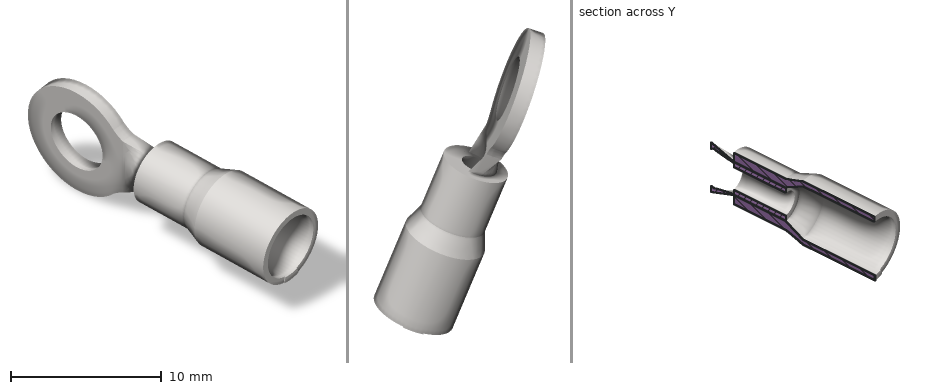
import cadquery as cq
import math

ring_radius = 4.25
ring_hole_radius = 2.25
tongue_thickness = 1.05
neck_x = 8.25
neck_half_width = 2.25
flare_x = 7.45
flare_sag = 0.05

barrel_radius = 1.5
barrel_wall = 0.5
lip_angle = math.radians(20)
side_end_angle = math.radians(-14)

sleeve_start_x = 10.23
cone_start_x = 14.56
cone_end_x = 15.97
overall_length = 22.0
pad_thickness = 0.07
sleeve_end_x = overall_length - pad_thickness
grip_radius = 2.29
sleeve_radius = 2.82
sleeve_wall = 0.48
sleeve_bore_radius = sleeve_radius - sleeve_wall

pad_angle = 30.0

barrel_bore_radius = barrel_radius - barrel_wall
barrel_length = cone_start_x - sleeve_start_x


def make_tongue():
    """Flat ring with a short neck, extruded from Y = 0 toward -Y."""
    flare_z = math.sqrt(ring_radius**2 - (flare_x - ring_radius) ** 2)
    mid_x = (flare_x + neck_x) / 2
    mid_z = (flare_z + neck_half_width) / 2 - flare_sag
    return (
        cq.Workplane("XZ")
        .moveTo(flare_x, flare_z)
        .threePointArc((0, 0), (flare_x, -flare_z))
        .threePointArc((mid_x, -mid_z), (neck_x, -neck_half_width))
        .lineTo(neck_x, neck_half_width)
        .threePointArc((mid_x, mid_z), (flare_x, flare_z))
        .close()
        .moveTo(ring_radius, 0)
        .circle(ring_hole_radius)
        .extrude(tongue_thickness)
    )


def section_point(angle):
    """(y, z) on the barrel's outer circle; the angle leans from +Z toward +Y."""
    return (barrel_radius * math.sin(angle), barrel_radius * math.cos(angle))


def section_edges(corners, middles, x):
    """Closed ring of edges at one X; each edge bends through its own middle point.

    Corners and middles are (y, z) pairs; a middle of None makes a straight edge.
    """
    points = [cq.Vector(x, y, z) for y, z in corners]
    edges = []
    for index, middle in enumerate(middles):
        start = points[index]
        end = points[(index + 1) % len(points)]
        if middle is None:
            edges.append(cq.Edge.makeLine(start, end))
        else:
            edges.append(cq.Edge.makeThreePointArc(start, cq.Vector(x, *middle), end))
    return edges


def make_curl():
    """Ruled transition from the flat neck to a crescent channel that meets the barrel."""
    side_middle_angle = (lip_angle + side_end_angle) / 2
    flat_corners = [
        (0, neck_half_width),
        (-tongue_thickness, neck_half_width),
        (-tongue_thickness, -neck_half_width),
        (0, -neck_half_width),
    ]
    crescent_corners = [
        section_point(lip_angle),
        section_point(side_end_angle),
        section_point(math.pi - side_end_angle),
        section_point(math.pi - lip_angle),
    ]
    crescent_middles = [
        section_point(side_middle_angle),
        (-barrel_radius, 0),
        section_point(math.pi - side_middle_angle),
        (-barrel_bore_radius, 0),
    ]
    flat = section_edges(flat_corners, [None] * len(flat_corners), neck_x)
    crescent = section_edges(crescent_corners, crescent_middles, sleeve_start_x)
    faces = [cq.Face.makeRuledSurface(near, far) for near, far in zip(flat, crescent)]
    faces.append(cq.Face.makeFromWires(cq.Wire.assembleEdges(flat)))
    faces.append(cq.Face.makeFromWires(cq.Wire.assembleEdges(crescent)))
    return cq.Workplane(cq.Solid.makeSolid(cq.Shell.makeShell(faces)).fix())


def make_barrel():
    """Round tube seated in the narrow part of the sleeve."""
    return (
        cq.Workplane("YZ", origin=(sleeve_start_x, 0, 0))
        .circle(barrel_radius)
        .circle(barrel_bore_radius)
        .extrude(barrel_length)
    )


def make_terminal():
    """Crimp terminal: tongue, curl and barrel as one piece."""
    return make_tongue().union(make_curl()).union(make_barrel())


def make_sleeve():
    """Stepped sleeve: snug on the barrel, then widening to the wire entry."""
    return (
        cq.Workplane("XY")
        .moveTo(sleeve_start_x, barrel_radius)
        .lineTo(sleeve_start_x, grip_radius)
        .lineTo(cone_start_x, grip_radius)
        .lineTo(cone_end_x, sleeve_radius)
        .lineTo(sleeve_end_x, sleeve_radius)
        .lineTo(sleeve_end_x, sleeve_bore_radius)
        .lineTo(cone_end_x, sleeve_bore_radius)
        .lineTo(cone_start_x, barrel_radius)
        .close()
        .revolve(360, (0, 0, 0), (1, 0, 0))
    )


def make_end_pad():
    """Thin sector on the sleeve's end face, centred on the -Z side."""
    return (
        cq.Workplane("XZ")
        .moveTo(sleeve_end_x, -sleeve_radius)
        .lineTo(overall_length, -sleeve_radius)
        .lineTo(overall_length, -sleeve_bore_radius)
        .lineTo(sleeve_end_x, -sleeve_bore_radius)
        .close()
        .revolve(pad_angle, (0, 0, 0), (1, 0, 0))
        .rotate((0, 0, 0), (1, 0, 0), -pad_angle / 2)
    )


terminal = make_terminal()
sleeve = make_sleeve()
end_pad = make_end_pad()

result = cq.Compound.makeCompound([*terminal.solids().vals(), sleeve.val(), end_pad.val()])